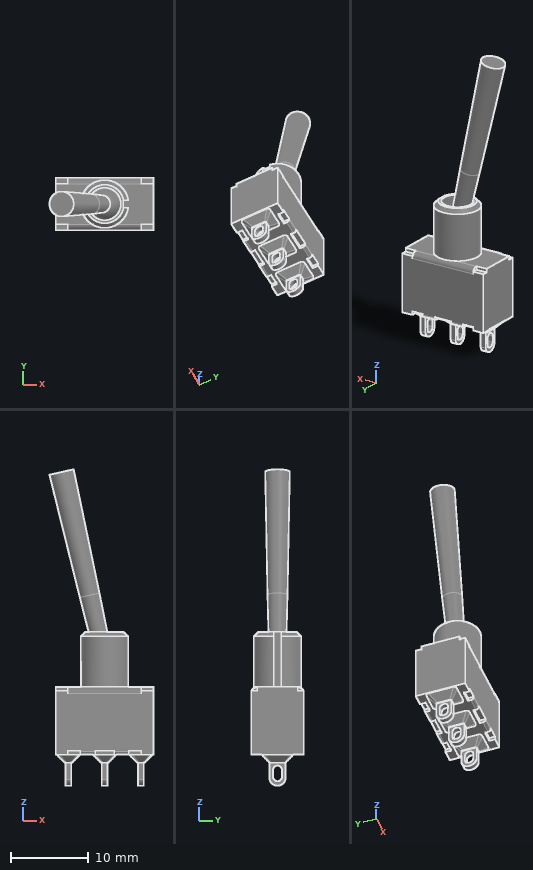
import cadquery as cq
import math

HOUSING_LENGTH = 12.7
HOUSING_WIDTH = 6.86
HOUSING_HEIGHT = 8.75
END_PLATE_THICKNESS = 1.6
STEP_WIDTH = 0.8
STEP_HEIGHT = 0.5
TOP_EDGE_RADIUS = STEP_WIDTH
BOTTOM_EDGE_RADIUS = 0.4
INNER_LENGTH = HOUSING_LENGTH - 2 * END_PLATE_THICKNESS

SKIRT_INNER_X = 1.25
SKIRT_OUTER_X = 3.15

BUSHING_DIAMETER = 6.2
BUSHING_HEIGHT = 7.15
BUSHING_CHAMFER = 0.6
BUSHING_TOP = HOUSING_HEIGHT + BUSHING_HEIGHT
KEYWAY_WIDTH = 1.0
KEYWAY_FLOOR_X = 2.4

BALL_DIAMETER = 4.2
BALL_RADIUS = BALL_DIAMETER / 2
BALL_DEPTH = 3.8
BALL_Z = BUSHING_TOP - BALL_DEPTH
NECK_RADIUS = 1.1
TAPER_CHANGE_RADIUS = 1.32
TIP_RADIUS = 1.62
LEVER_TILT = 12.84
TAPER_CHANGE_DISTANCE = 8.8
LEVER_LENGTH = 25.15

TERMINAL_PITCH = 4.7
TERMINAL_THICKNESS = 0.8
TERMINAL_WIDTH = 2.1
TERMINAL_LENGTH = 4.06
TERMINAL_TIP_RISE = 0.88
EYE_WIDTH = 1.15
EYE_LENGTH = 2.0
EYE_TOP_DEPTH = 1.45
SEAL_LENGTH = 3.1
SEAL_WIDTH = 4.2
SEAL_HEIGHT = 1.05
SEAL_TIP_LENGTH = SEAL_LENGTH - 2 * SEAL_HEIGHT
SEAL_TIP_WIDTH = SEAL_WIDTH - 2 * SEAL_HEIGHT
SEAL_BASE_CORNER = 0.4
SEAL_TIP_CORNER = 0.2


def box_between(x_range, y_range, z_range):
    """Box spanning the given (low, high) range along each axis."""
    sizes = [high - low for low, high in (x_range, y_range, z_range)]
    corner = (x_range[0], y_range[0], z_range[0])
    return cq.Workplane("XY").box(*sizes, centered=False).translate(corner)


def make_housing():
    """Block with rounded long edges between stepped end plates."""
    half_length = HOUSING_LENGTH / 2
    half_inner = INNER_LENGTH / 2
    half_width = HOUSING_WIDTH / 2
    step_y = half_width - STEP_WIDTH

    housing = (
        cq.Workplane("XY")
        .box(INNER_LENGTH, HOUSING_WIDTH, HOUSING_HEIGHT, centered=(True, True, False))
        .edges("|X and >Z")
        .fillet(TOP_EDGE_RADIUS)
        .edges("|X and <Z")
        .fillet(BOTTOM_EDGE_RADIUS)
    )

    notch_x_ranges = (
        (-half_inner, -SKIRT_OUTER_X),
        (-SKIRT_INNER_X, SKIRT_INNER_X),
        (SKIRT_OUTER_X, half_inner),
    )
    for y_range in ((-half_width, -step_y), (step_y, half_width)):
        for x_range in notch_x_ranges:
            housing = housing.cut(box_between(x_range, y_range, (0, STEP_HEIGHT)))

    step_z = HOUSING_HEIGHT - STEP_HEIGHT
    for x_range in ((-half_length, -half_inner), (half_inner, half_length)):
        plate = box_between(x_range, (-half_width, half_width), (0, step_z))
        ridge = box_between(x_range, (-step_y, step_y), (step_z, HOUSING_HEIGHT))
        housing = housing.union(plate.union(ridge))
    return housing


def make_bushing():
    """Chamfered cylinder with a keyway down its +X side."""
    bushing = (
        cq.Workplane("XY", origin=(0, 0, HOUSING_HEIGHT))
        .circle(BUSHING_DIAMETER / 2)
        .extrude(BUSHING_HEIGHT)
        .faces(">Z")
        .chamfer(BUSHING_CHAMFER)
    )
    keyway = box_between(
        (KEYWAY_FLOOR_X, BUSHING_DIAMETER),
        (-KEYWAY_WIDTH / 2, KEYWAY_WIDTH / 2),
        (HOUSING_HEIGHT, BUSHING_TOP),
    )
    return bushing.cut(keyway)


def make_bore_space():
    """Open space in the bore above the upper half of the lever ball."""
    arc_offset = BALL_RADIUS * math.sqrt(0.5)
    return (
        cq.Workplane("XZ")
        .moveTo(0, BALL_Z + BALL_RADIUS)
        .threePointArc((arc_offset, BALL_Z + arc_offset), (BALL_RADIUS, BALL_Z))
        .lineTo(BALL_RADIUS, BUSHING_TOP)
        .lineTo(0, BUSHING_TOP)
        .close()
        .revolve(360, (0, 0, 0), (0, 1, 0))
    )


def make_handle():
    """Tapered handle rising from the ball centre and leaning toward -X."""
    return (
        cq.Workplane("XZ")
        .lineTo(NECK_RADIUS, 0)
        .lineTo(TAPER_CHANGE_RADIUS, TAPER_CHANGE_DISTANCE)
        .lineTo(TIP_RADIUS, LEVER_LENGTH)
        .lineTo(0, LEVER_LENGTH)
        .close()
        .revolve(360, (0, 0, 0), (0, 1, 0))
        .rotate((0, 0, 0), (0, 1, 0), -LEVER_TILT)
        .translate((0, 0, BALL_Z))
    )


def make_terminal():
    """Round-ended solder lug with an eye, and the tapered seal at its root."""
    half_width = TERMINAL_WIDTH / 2
    arc_start_z = TERMINAL_TIP_RISE - TERMINAL_LENGTH
    lug = (
        cq.Workplane("YZ")
        .moveTo(-half_width, 0)
        .lineTo(-half_width, arc_start_z)
        .threePointArc((0, -TERMINAL_LENGTH), (half_width, arc_start_z))
        .lineTo(half_width, 0)
        .close()
        .extrude(TERMINAL_THICKNESS / 2, both=True)
    )
    eye = (
        cq.Workplane("YZ")
        .center(0, -EYE_TOP_DEPTH - EYE_LENGTH / 2)
        .slot2D(EYE_LENGTH, EYE_WIDTH, 90)
        .extrude(TERMINAL_THICKNESS, both=True)
    )
    base = cq.Sketch().rect(SEAL_LENGTH, SEAL_WIDTH).vertices().fillet(SEAL_BASE_CORNER)
    tip = cq.Sketch().rect(SEAL_TIP_LENGTH, SEAL_TIP_WIDTH).vertices().fillet(SEAL_TIP_CORNER)
    seal = (
        cq.Workplane("XY")
        .placeSketch(base, tip.moved(cq.Location(cq.Vector(0, 0, -SEAL_HEIGHT))))
        .loft()
    )
    return lug.cut(eye).union(seal)


result = make_housing().union(make_bushing())
result = result.cut(make_bore_space()).union(make_handle())
for position in (-1, 0, 1):
    result = result.union(make_terminal().translate((position * TERMINAL_PITCH, 0, 0)))